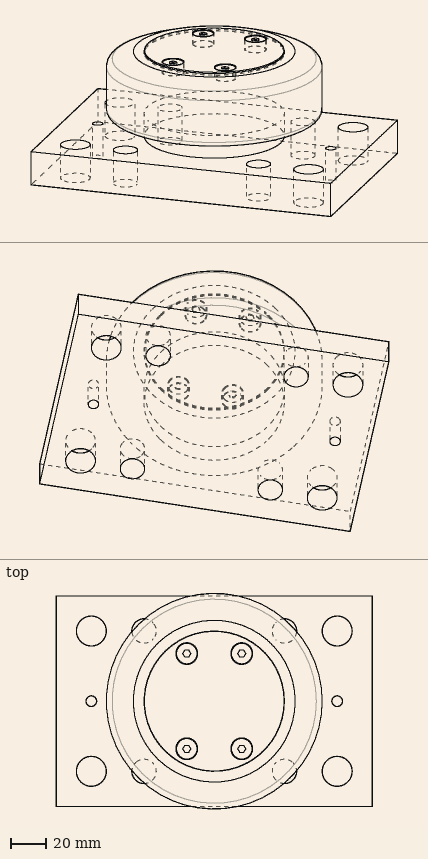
import cadquery as cq
import math

plate_length = 180.0
plate_width = 120.0
plate_height = 20.0

mount_diameter = 17.0
mount_x = 70.0
mount_y = 40.0
inner_diameter = 13.9
inner_offset = mount_y
pin_diameter = 6.0

total_height = 71.5
hub_diameter = 80.0
roller_diameter = 123.0
roller_bottom = 33.5
hub_rise = 0.7
roller_top = total_height - hub_rise
flat_diameter = 92.2
cone_angle = math.radians(20)
shoulder_radius = 5.0
lower_fillet = 3.0

cover_diameter = 79.5
gap_depth = 0.9

screw_circle_radius = 31.3
screw_angles = (60, 120, 240, 300)
counterbore_diameter = 12.5
counterbore_depth = 6.5
head_diameter = 11.7
head_recess = 0.4
socket_width = 4.0
socket_depth = 0.9


def make_plate():
    plate = cq.Workplane("XY").box(
        plate_length, plate_width, plate_height, centered=(True, True, False)
    )
    hole_groups = (
        (mount_diameter, 2 * mount_x, 2 * mount_y, 2),
        (inner_diameter, 2 * inner_offset, 2 * inner_offset, 2),
        (pin_diameter, 2 * mount_x, 1.8, 1),
    )
    for diameter, pitch_x, pitch_y, rows in hole_groups:
        holes = cq.Workplane("XY").rarray(pitch_x, pitch_y, 2, rows)
        plate = plate.cut(holes.circle(diameter / 2).extrude(plate_height))
    return plate


def make_roller():
    outer_radius = roller_diameter / 2
    flat_radius = flat_diameter / 2

    center_r = outer_radius - shoulder_radius
    cone_end_r = center_r + shoulder_radius * math.sin(cone_angle)
    cone_end_z = roller_top - (cone_end_r - flat_radius) * math.tan(cone_angle)
    center_z = cone_end_z - shoulder_radius * math.cos(cone_angle)
    mid_angle = (math.pi / 2 - cone_angle) / 2
    shoulder_mid = (
        center_r + shoulder_radius * math.cos(mid_angle),
        center_z + shoulder_radius * math.sin(mid_angle),
    )
    lower_mid = (
        outer_radius - lower_fillet * (1 - math.sqrt(0.5)),
        roller_bottom + lower_fillet * (1 - math.sqrt(0.5)),
    )
    profile = (
        cq.Workplane("XZ")
        .moveTo(0, roller_bottom)
        .lineTo(outer_radius - lower_fillet, roller_bottom)
        .threePointArc(lower_mid, (outer_radius, roller_bottom + lower_fillet))
        .lineTo(outer_radius, center_z)
        .threePointArc(shoulder_mid, (cone_end_r, cone_end_z))
        .lineTo(flat_radius, roller_top)
        .lineTo(0, roller_top)
        .close()
    )
    return profile.revolve(360, (0, 0, 0), (0, 1, 0))


def make_hub():
    return (
        cq.Workplane("XY")
        .workplane(offset=plate_height)
        .circle(hub_diameter / 2)
        .extrude(total_height - plate_height)
    )


def make_gap():
    return (
        cq.Workplane("XY")
        .workplane(offset=roller_top - gap_depth)
        .circle(hub_diameter / 2)
        .circle(cover_diameter / 2)
        .extrude(gap_depth + hub_rise)
    )


def screw_places(height):
    points = [
        (
            screw_circle_radius * math.cos(math.radians(angle)),
            screw_circle_radius * math.sin(math.radians(angle)),
        )
        for angle in screw_angles
    ]
    return cq.Workplane("XY").workplane(offset=height).pushPoints(points)


def add_screws(body):
    counterbores = screw_places(total_height).circle(counterbore_diameter / 2).extrude(-counterbore_depth)
    head_top = total_height - head_recess
    head_height = counterbore_depth - head_recess
    heads = screw_places(head_top).circle(head_diameter / 2).extrude(-head_height)
    socket_corner_diameter = socket_width / math.cos(math.pi / 6)
    sockets = screw_places(head_top).polygon(6, socket_corner_diameter).extrude(-socket_depth)
    return body.cut(counterbores).union(heads).cut(sockets)


assembly = make_plate().union(make_hub()).union(make_roller()).cut(make_gap())
result = add_screws(assembly)